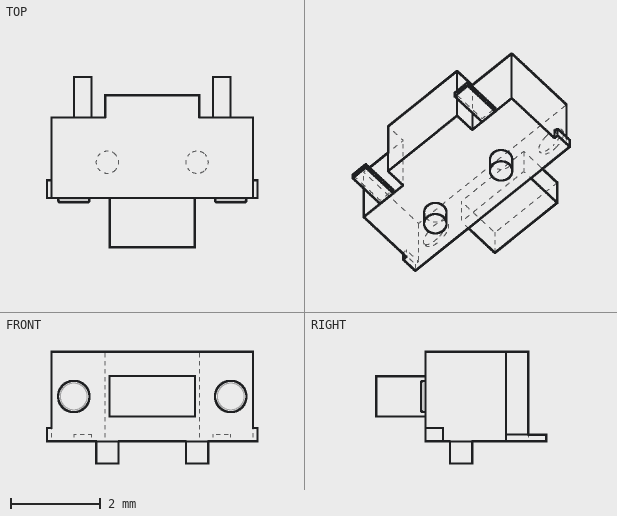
import cadquery as cq

overall_width = 4.7

housing_depth = 1.8
housing_height = 2.0
rear_block_width = 2.1
rear_block_depth = 0.5

tab_width = 0.1
tab_depth = 0.4
tab_height = 0.3
housing_width = overall_width - 2 * tab_width

pad_diameter = 0.7
pad_depth = 0.1
pad_edge_radius = 0.05
pad_spacing = 3.5

peg_diameter = 0.5
peg_length = 0.5
peg_spacing = 2.0
peg_setback = 0.8

actuator_width = 1.9
actuator_height = 0.902
actuator_length = 1.1
actuator_center_z = housing_height / 2

terminal_width = 0.4
terminal_length = 0.902
terminal_thickness = 0.15
terminal_spacing = 3.1


def block(width, depth, height, x=0.0, y=0.0, z=0.0):
    """Box centred on x, running back from y and up from z."""
    return cq.Workplane("XY").box(width, depth, height, centered=(True, False, False)).translate((x, y, z))


def make_pad(x):
    """Round pad standing on the front face, with a rounded outer edge."""
    return (
        cq.Workplane("XZ")
        .center(x, housing_height / 2)
        .circle(pad_diameter / 2)
        .extrude(pad_depth)
        .faces("<Y")
        .edges()
        .fillet(pad_edge_radius)
    )


def make_peg(x):
    """Cylindrical peg hanging from the underside."""
    return cq.Workplane("XY").center(x, peg_setback).circle(peg_diameter / 2).extrude(-peg_length)


def make_housing():
    """Block with rear block, side tabs, front pads and locating pegs."""
    body = block(housing_width, housing_depth, housing_height)
    body = body.union(block(rear_block_width, rear_block_depth, housing_height, y=housing_depth))
    body = body.union(block(overall_width, tab_depth, tab_height))
    for side in (-1, 1):
        body = body.union(make_pad(side * pad_spacing / 2))
        body = body.union(make_peg(side * peg_spacing / 2))
    return body


def make_actuator():
    """Plain rectangular actuator meeting the front face."""
    bottom = actuator_center_z - actuator_height / 2
    return block(actuator_width, actuator_length, actuator_height, y=-actuator_length, z=bottom)


def make_terminal(x):
    """Flat terminal meeting the rear face, level with the underside."""
    return block(terminal_width, terminal_length, terminal_thickness, x=x, y=housing_depth)


housing = make_housing()
actuator = make_actuator()
terminals = [make_terminal(side * terminal_spacing / 2) for side in (-1, 1)]

result = cq.Compound.makeCompound(
    [housing.solids().val(), actuator.val(), *[terminal.val() for terminal in terminals]]
)